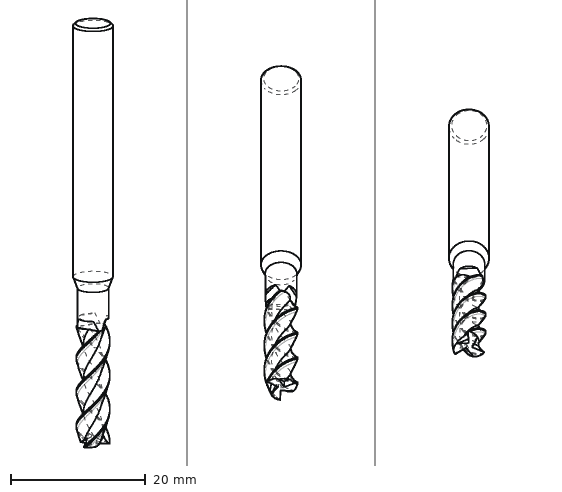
import cadquery as cq
import math

total_length = 65.0
shank_radius = 3.0
shank_chamfer = 0.4
shank_bottom = 25.8
neck_top = 24.05
neck_radius = 2.35

tooth_count = 3
head_length = 18.0
cutting_diameter = 5.0
cutting_radius = cutting_diameter / 2
helix_angle = 45.0
first_edge_angle = 62.0
lead = 2 * math.pi * cutting_radius / math.tan(math.radians(helix_angle))
head_twist = 360 * head_length / lead
tooth_step = 360 / tooth_count

margin_angle = 7.0
heel_radius = 2.35
heel_angle = 18.0
back_radius = 1.95
back_angle = 45.0
root_radius = 1.4
root_angle = 74.0
rake_radius = 1.75
rake_angle = 102.0

runout_angle = 70.0
runout_height = 1.5
runout_width = 3.65
runout_top_radius = 1.95

gash_height = 1.2
gash_width = 1.8
gash_inner_radius = 0.5


def polar(radius, angle):
    """Point at a radius and an angle in degrees."""
    return (radius * math.cos(math.radians(angle)), radius * math.sin(math.radians(angle)))


def make_shank():
    """Chamfered shank, cone and neck, with one run-out per flute."""
    shank = (
        cq.Workplane("XZ")
        .moveTo(0, head_length)
        .lineTo(neck_radius, head_length)
        .lineTo(neck_radius, neck_top)
        .lineTo(shank_radius, shank_bottom)
        .lineTo(shank_radius, total_length - shank_chamfer)
        .lineTo(shank_radius - shank_chamfer, total_length)
        .lineTo(0, total_length)
        .close()
        .revolve(360, (0, 0, 0), (0, 1, 0))
    )
    first_runout_angle = first_edge_angle + head_twist + runout_angle
    for index in range(tooth_count):
        shank = shank.cut(make_runout(first_runout_angle + index * tooth_step))
    return shank


def make_runout(angle):
    """Wedge whose sloping floor leads from the flute root out to the neck surface."""
    runout_top = head_length + runout_height
    return (
        cq.Workplane("XZ")
        .moveTo(root_radius, head_length)
        .lineTo(shank_radius, head_length)
        .lineTo(shank_radius, runout_top)
        .lineTo(runout_top_radius, runout_top)
        .close()
        .extrude(runout_width / 2, both=True)
        .rotate((0, 0, 0), (0, 0, 1), angle)
    )


def make_head_section():
    """Cross-section at the tip: each tooth has a margin, relief, curved back and hooked rake."""
    section = cq.Workplane("XY").moveTo(*polar(cutting_radius, first_edge_angle))
    for index in range(tooth_count):
        edge = first_edge_angle + index * tooth_step
        section = (
            section
            .threePointArc(
                polar(cutting_radius, edge + margin_angle / 2),
                polar(cutting_radius, edge + margin_angle),
            )
            .lineTo(*polar(heel_radius, edge + heel_angle))
            .threePointArc(polar(back_radius, edge + back_angle), polar(root_radius, edge + root_angle))
            .threePointArc(
                polar(rake_radius, edge + rake_angle),
                polar(cutting_radius, edge + tooth_step),
            )
        )
    return section.close()


def make_gash(angle):
    """Wedge that ends in a plane through the cutting edge and rises toward it."""
    return (
        cq.Workplane("YZ")
        .workplane(offset=gash_inner_radius)
        .moveTo(0, 0)
        .lineTo(0, gash_height)
        .lineTo(-gash_width, 0)
        .close()
        .extrude(shank_radius - gash_inner_radius)
        .rotate((0, 0, 0), (0, 0, 1), angle)
    )


def make_cutting_head():
    """Twisted three-flute head with gashed tip."""
    head = make_head_section().twistExtrude(head_length, head_twist)
    for index in range(tooth_count):
        head = head.cut(make_gash(first_edge_angle + index * tooth_step))
    return head


shank = make_shank()
cutting_head = make_cutting_head()
result = cq.Compound.makeCompound([shank.val(), cutting_head.val()])